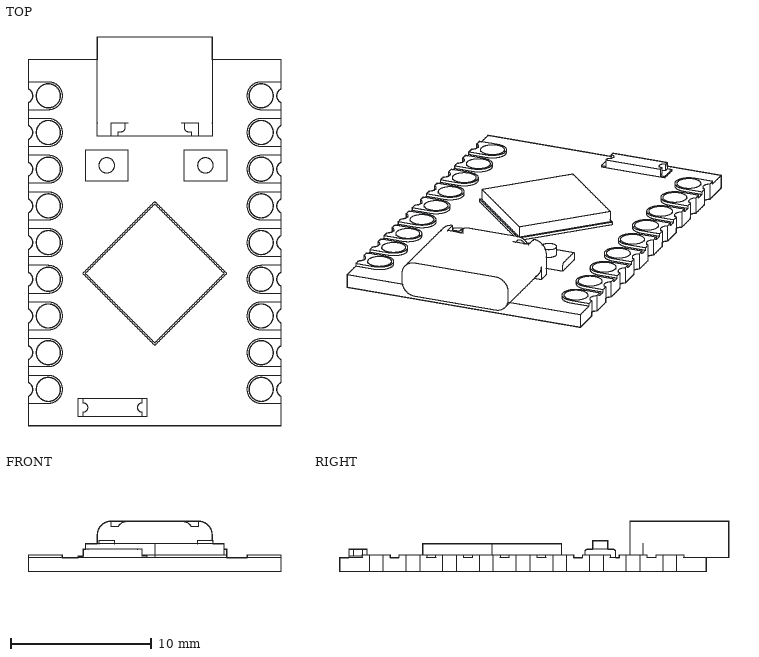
import cadquery as cq
import math

BOARD_WIDTH = 18.0
BOARD_LENGTH = 26.11
BOARD_THICKNESS = 1.0
BOARD_EDGE_X = BOARD_WIDTH / 2
BOARD_EDGE_Y = BOARD_LENGTH / 2

PADS_PER_SIDE = 9
PAD_PITCH = 2.614
PAD_WIDTH = 2.0
PAD_THICKNESS = 0.2
PAD_HOLE_DIAMETER = 1.7
PAD_HOLE_INSET = 1.42
EDGE_NOTCH_DIAMETER = 1.1
EDGE_NOTCH_DEPTH = 0.3

USB_WIDTH = 8.2
USB_LENGTH = 7.05
USB_HEIGHT = 2.6
USB_OVERHANG = 1.6
USB_CORNER_RADIUS = 1.0
USB_REAR_LENGTH = 0.93
USB_FRONT_Y = BOARD_EDGE_Y + USB_OVERHANG
USB_REAR_Y = USB_FRONT_Y - USB_LENGTH
USB_TOP_Z = BOARD_THICKNESS + USB_HEIGHT

POCKET_OUTER_X = 3.13
POCKET_INNER_X = 1.9
POCKET_DEPTH = 0.37
BEND_FOOT_X = 2.6
RECESS_INNER_X = 2.11
RECESS_CORNER_RADIUS = 0.3
TAB_LENGTH = 0.28

BUTTON_X_POSITIONS = (-3.42, 3.61)
BUTTON_Y = 5.5
BUTTON_WIDTH = 3.05
BUTTON_LENGTH = 2.2
BUTTON_HEIGHT = 0.6
BUTTON_EDGE_RADIUS = 0.2
KNOB_DIAMETER = 1.1
KNOB_HEIGHT = 0.6

CHIP_Y = -2.2
CHIP_ANGLE = 45.0
CHIP_SIDE = 7.0
CHIP_BASE_SIDE = 7.25
CHIP_BASE_THICKNESS = 0.2
CHIP_HEIGHT = 1.0

LAMP_X = -3.0
LAMP_Y = -11.75
LAMP_LENGTH = 4.2
LAMP_WIDTH = 1.3
LAMP_TOP_HEIGHT = 0.6
LAMP_BASE_LENGTH = 4.9
LAMP_BASE_THICKNESS = 0.1
LAMP_NOTCH_RADIUS = 0.33


def block(width, length, height, x, y, z):
    """Box centred on (x, y) that stands on height z."""
    return cq.Workplane("XY").box(width, length, height, centered=(True, True, False)).translate((x, y, z))


def pad_centres():
    """Hole centres of all pads, with the side of the board (-1 or 1)."""
    for side in (-1, 1):
        for row in range(PADS_PER_SIDE):
            y = (row - (PADS_PER_SIDE - 1) / 2) * PAD_PITCH
            yield side, side * (BOARD_EDGE_X - PAD_HOLE_INSET), y


def board_with_pads():
    board = block(BOARD_WIDTH, BOARD_LENGTH, BOARD_THICKNESS, 0, 0, 0)
    top_z = BOARD_THICKNESS + PAD_THICKNESS
    notch_offset = BOARD_EDGE_X - EDGE_NOTCH_DEPTH + EDGE_NOTCH_DIAMETER / 2
    cutters = cq.Workplane("XY")
    for side, x, y in pad_centres():
        strip_x = side * (BOARD_EDGE_X - PAD_HOLE_INSET / 2)
        strip = block(PAD_HOLE_INSET, PAD_WIDTH, PAD_THICKNESS, strip_x, y, BOARD_THICKNESS)
        round_end = (
            cq.Workplane("XY", origin=(x, y, BOARD_THICKNESS)).circle(PAD_WIDTH / 2).extrude(PAD_THICKNESS)
        )
        board = board.union(strip.union(round_end))
        hole = cq.Workplane("XY", origin=(x, y, 0)).circle(PAD_HOLE_DIAMETER / 2).extrude(top_z)
        notch = (
            cq.Workplane("XY", origin=(side * notch_offset, y, 0))
            .circle(EDGE_NOTCH_DIAMETER / 2)
            .extrude(top_z)
        )
        cutters = cutters.add(hole).add(notch)
    for cutter in cutters.vals():
        board = board.cut(cq.Workplane(cutter))
    return board


def usb_pocket():
    """Pocket on the +X side: a flat floor beside a bend that curves down from the top face."""
    floor_z = USB_TOP_Z - POCKET_DEPTH
    pocket_front_y = USB_REAR_Y + USB_REAR_LENGTH
    bend_run = BEND_FOOT_X - POCKET_INNER_X
    bend_radius = (bend_run**2 + POCKET_DEPTH**2) / (2 * POCKET_DEPTH)
    half_angle = math.asin(bend_run / bend_radius) / 2
    bend_middle = (
        POCKET_INNER_X + bend_radius * math.sin(half_angle),
        USB_TOP_Z - bend_radius * (1 - math.cos(half_angle)),
    )
    bend = (
        cq.Workplane("XZ", origin=(0, pocket_front_y, 0))
        .moveTo(POCKET_INNER_X, USB_TOP_Z)
        .threePointArc(bend_middle, (BEND_FOOT_X, floor_z))
        .lineTo(POCKET_OUTER_X, floor_z)
        .lineTo(POCKET_OUTER_X, USB_TOP_Z)
        .close()
        .extrude(USB_REAR_LENGTH)
    )
    recess_width = POCKET_OUTER_X - RECESS_INNER_X
    recess_length = USB_REAR_LENGTH - TAB_LENGTH
    recess = block(
        recess_width,
        recess_length,
        POCKET_DEPTH,
        RECESS_INNER_X + recess_width / 2,
        pocket_front_y - recess_length / 2,
        floor_z,
    )
    recess = recess.edges("|Z and <X and <Y").fillet(RECESS_CORNER_RADIUS)
    return bend.union(recess)


def usb_connector():
    middle_y = (USB_FRONT_Y + USB_REAR_Y) / 2
    shell = block(USB_WIDTH, USB_LENGTH, USB_HEIGHT, 0, middle_y, BOARD_THICKNESS)
    shell = shell.edges("|Y").fillet(USB_CORNER_RADIUS)
    rear_foot = block(
        USB_WIDTH,
        USB_REAR_LENGTH,
        USB_HEIGHT / 2,
        0,
        USB_REAR_Y + USB_REAR_LENGTH / 2,
        BOARD_THICKNESS,
    )
    pocket = usb_pocket()
    return shell.union(rear_foot).cut(pocket).cut(pocket.mirror("YZ"))


def push_button(x):
    body = block(BUTTON_WIDTH, BUTTON_LENGTH, BUTTON_HEIGHT, x, BUTTON_Y, BOARD_THICKNESS)
    body = body.edges("|X and >Z").fillet(BUTTON_EDGE_RADIUS)
    knob = (
        cq.Workplane("XY", origin=(x, BUTTON_Y, BOARD_THICKNESS))
        .circle(KNOB_DIAMETER / 2)
        .extrude(BUTTON_HEIGHT + KNOB_HEIGHT)
    )
    return body.union(knob)


def chip():
    base = block(CHIP_BASE_SIDE, CHIP_BASE_SIDE, CHIP_BASE_THICKNESS, 0, 0, BOARD_THICKNESS)
    body = block(CHIP_SIDE, CHIP_SIDE, CHIP_HEIGHT, 0, 0, BOARD_THICKNESS)
    return base.union(body).rotate((0, 0, 0), (0, 0, 1), CHIP_ANGLE).translate((0, CHIP_Y, 0))


def lamp():
    base = block(LAMP_BASE_LENGTH, LAMP_WIDTH, LAMP_BASE_THICKNESS, LAMP_X, LAMP_Y, BOARD_THICKNESS)
    body_z = BOARD_THICKNESS + LAMP_BASE_THICKNESS
    body_height = LAMP_TOP_HEIGHT - LAMP_BASE_THICKNESS
    body = block(LAMP_LENGTH, LAMP_WIDTH, body_height, LAMP_X, LAMP_Y, body_z)
    for side in (-1, 1):
        end_x = LAMP_X + side * LAMP_LENGTH / 2
        notch = cq.Workplane("XY", origin=(end_x, LAMP_Y, body_z))
        notch = notch.circle(LAMP_NOTCH_RADIUS).extrude(body_height)
        body = body.cut(notch)
    return base.union(body)


result = board_with_pads().union(usb_connector()).union(chip()).union(lamp())
for button_x in BUTTON_X_POSITIONS:
    result = result.union(push_button(button_x))